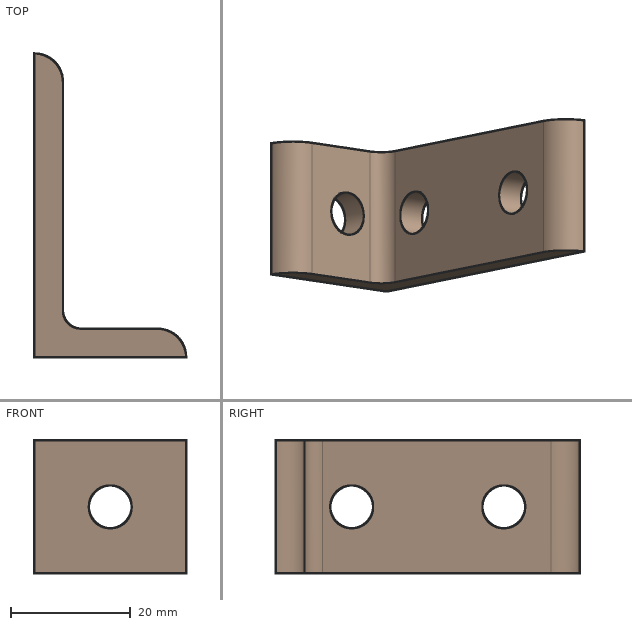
import cadquery as cq
import math

long_leg = 50.8
short_leg = long_leg / 2
height = 22.25
thickness = 4.85
root_radius = 3.0
hole_diameter = 7.1

toe_radius = thickness
toe_mid = toe_radius * math.sqrt(0.5)

short_leg_hole_x = short_leg / 2
long_leg_hole_ys = (long_leg / 4, long_leg * 3 / 4)


def angle_profile():
    """L section with its outer corner at the origin."""
    short_toe_start = short_leg - toe_radius
    long_toe_start = long_leg - toe_radius
    root_end = thickness + root_radius
    root_mid = root_end - root_radius * math.sqrt(0.5)
    return (
        cq.Workplane("XY")
        .lineTo(short_leg, 0)
        .threePointArc((short_toe_start + toe_mid, toe_mid), (short_toe_start, thickness))
        .lineTo(root_end, thickness)
        .threePointArc((root_mid, root_mid), (thickness, root_end))
        .lineTo(thickness, long_toe_start)
        .threePointArc((toe_mid, long_toe_start + toe_mid), (0, long_leg))
        .close()
    )


def hole_cutter(start, direction):
    """Cylinder through one leg, starting on its outer face."""
    return cq.Workplane(
        cq.Solid.makeCylinder(hole_diameter / 2, thickness, cq.Vector(*start), cq.Vector(*direction))
    )


result = angle_profile().extrude(height)
result = result.cut(hole_cutter((short_leg_hole_x, 0, height / 2), (0, 1, 0)))
for hole_y in long_leg_hole_ys:
    result = result.cut(hole_cutter((0, hole_y, height / 2), (1, 0, 0)))